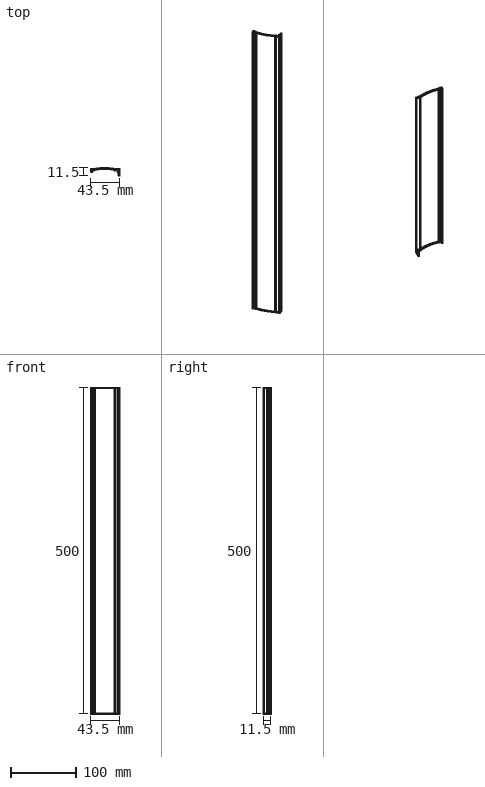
import cadquery as cq

length = 500.0
width = 43.5
depth = 11.5

wall = 1.1
crown_rise = 1.4
crown_half_span = 15.0
crown_center_x = -1.0
corner_radius = 1.0

short_leg_depth = 6.0
tip_bevel_height = 0.75
tip_bevel_width = 0.5

rib_width = 1.0
rib_drop = 1.25

hook_top = 4.0
hook_tip = 5.5
hook_bottom = 6.5
hook_reach = 1.5

half_width = width / 2
shoulder_y = -crown_rise
inner_y = shoulder_y - wall
rib_y = inner_y - rib_drop
crown_left_x = crown_center_x - crown_half_span
crown_right_x = crown_center_x + crown_half_span
left_rib_x = crown_left_x - rib_width
right_rib_x = crown_right_x + rib_width
right_inner_x = half_width - wall
left_inner_x = -half_width + wall


def cover_profile():
    """Crowned web with a short left leg, a long hooked right leg and two locating ribs."""
    return (
        cq.Workplane("XY")
        .moveTo(-half_width + tip_bevel_width, -short_leg_depth)
        .lineTo(-half_width, -short_leg_depth + tip_bevel_height)
        .lineTo(-half_width, shoulder_y)
        .lineTo(crown_left_x, shoulder_y)
        .threePointArc((crown_center_x, 0), (crown_right_x, shoulder_y))
        .lineTo(half_width, shoulder_y)
        .lineTo(half_width, -depth)
        .lineTo(right_inner_x + tip_bevel_width, -depth)
        .lineTo(right_inner_x, -depth + tip_bevel_height)
        .lineTo(right_inner_x, -hook_bottom)
        .threePointArc((right_inner_x - hook_reach, -hook_tip), (right_inner_x, -hook_top))
        .lineTo(right_inner_x, inner_y)
        .lineTo(right_rib_x, inner_y)
        .lineTo(right_rib_x, rib_y)
        .lineTo(crown_right_x, inner_y)
        .threePointArc((crown_center_x, -wall), (crown_left_x, inner_y))
        .lineTo(left_rib_x, rib_y)
        .lineTo(left_rib_x, inner_y)
        .lineTo(left_inner_x, inner_y)
        .lineTo(left_inner_x, -short_leg_depth)
        .close()
    )


strip = cover_profile().extrude(length)

long_leg_corner = cq.selectors.NearestToPointSelector((half_width, shoulder_y, length / 2))
result = strip.edges("|Z").edges(long_leg_corner).fillet(corner_radius)